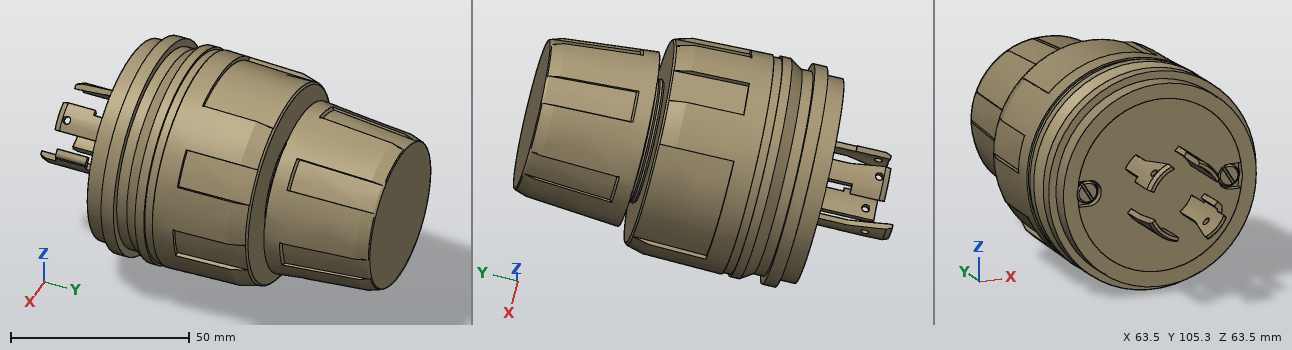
import cadquery as cq


FLANGE_RADIUS = 31.75
NECK_RADIUS = 29.5
GROOVE_RADIUS = 31.1
FLANGE_START = 5.2
FLANGE_END = 9.0
CONE_START = 12.1
COLLAR_START = 15.6
COLLAR_END = 18.3
GRIP_START = 20.8
GRIP_RADIUS = 31.6
GRIP_SHOULDER = 43.6
GRIP_SHOULDER_RADIUS = 31.0
GRIP_END = 49.0
GRIP_END_RADIUS = 29.1
GRIP_EDGE = 0.6

BODY_RECESS_START = 27.1
BODY_RECESS_RADIUS = 30.3
BODY_RECESS_END_RADIUS = 29.6
BODY_RECESS_SPAN = 20.0
BODY_RECESS_PITCH = 45.0
BODY_RECESS_FIRST = 25.0
BODY_RECESS_COUNT = 8
WIDE_RECESSES = (1, 5)
RECESS_CLEARANCE = 1.0

NUT_START = 52.1
NUT_RADIUS = 25.15
NUT_SHOULDER = 79.1
NUT_SHOULDER_RADIUS = 22.75
NUT_RIM = 82.5
NUT_RIM_RADIUS = 21.65
NUT_END = 82.83
NUT_END_RADIUS = 21.4
NUT_RECESS_START = 56.7
NUT_RECESS_DEPTH = 0.7
NUT_RECESS_SLOPE = 0.6
NUT_RECESS_SPAN = 22.0
NUT_RECESS_PITCH = 60.0
NUT_RECESS_FIRST = 38.0
NUT_RECESS_COUNT = 6

THREAD_RADIUS = 17.9
THREAD_ROOT_RADIUS = 17.4
THREAD_PITCH = 1.1

INSERT_RADIUS = 25.1
INSERT_STEP = 0.1
SCREW_OFFSET = 21.6
POCKET_RADIUS = 3.7
POCKET_DEPTH = 2.2
HEAD_RADIUS = 3.2
HEAD_HEIGHT = 1.2
HEAD_EDGE = 0.5
DRIVE_SLOT_WIDTH = 0.75
DRIVE_SLOT_DEPTH = 0.7
DRIVE_SLOT_ANGLE = 122.5

FIRST_BLADE_ANGLE = 45.0
QUARTER_TURN = 90.0
BLADE_OUTER_RADIUS = 12.1
BLADE_INNER_RADIUS = 10.5
BLADE_LENGTH = 18.3
LONG_BLADE_LENGTH = 22.5
BLADE_ROOT = 1.0
HOOK_START = 8.4
FLARE_START = 6.6
LONG_FLARE_START = 10.0
FLARE_MARGIN = 1.1
TIP_CHAMFER_LENGTH = 1.6
TIP_CHAMFER_DEPTH = 0.6
HOLE_DIAMETER = 2.2
HOLE_STATION = 15.4
TAB_INNER = 8.1
TAB_OUTER = 10.6
TAB_END = 17.6
TAB_NEAR = 4.5
TAB_FAR = 6.1
TAB_ROUNDING = 1.2


def turn(shape, angle):
    """Turn a shape about the plug axis, from +X towards +Z."""
    return shape.rotate((0, 0, 0), (0, 1, 0), -angle)


def revolved(points, span=360.0):
    """Revolve a closed (radius, Y) outline about the plug axis."""
    return cq.Workplane("XY").polyline(points).close().revolve(span, (0, 0), (0, 1))


def cylinder(radius, start, end):
    """Cylinder on the plug axis from Y = start to Y = end."""
    return cq.Workplane("XZ", origin=(0, start, 0)).circle(radius).extrude(start - end)


def radius_on_line(y, start, end):
    """Radius at Y on the straight line between two (radius, Y) points."""
    share = (y - start[1]) / (end[1] - start[1])
    return start[0] + share * (end[0] - start[0])


def recess_cutter(floor, first_angle, span):
    """Sector between an open (radius, Y) floor line and a clearance radius."""
    clearance = FLANGE_RADIUS + RECESS_CLEARANCE
    outline = [(clearance, floor[0][1])] + floor + [(clearance, floor[-1][1])]
    return turn(revolved(outline, span), first_angle + span)


def make_housing():
    housing = revolved([
        (0, 0),
        (NECK_RADIUS, 0),
        (NECK_RADIUS, FLANGE_START),
        (FLANGE_RADIUS, FLANGE_START),
        (FLANGE_RADIUS, FLANGE_END),
        (NECK_RADIUS, FLANGE_END),
        (NECK_RADIUS, CONE_START),
        (FLANGE_RADIUS, COLLAR_START),
        (FLANGE_RADIUS, COLLAR_END),
        (GROOVE_RADIUS, COLLAR_END),
        (GROOVE_RADIUS, GRIP_START),
        (GRIP_RADIUS, GRIP_START),
        (GRIP_SHOULDER_RADIUS, GRIP_SHOULDER),
        (GRIP_END_RADIUS + GRIP_EDGE, GRIP_END - GRIP_EDGE),
        (GRIP_END_RADIUS, GRIP_END),
        (0, GRIP_END),
    ])
    floor = [(BODY_RECESS_RADIUS, BODY_RECESS_START), (BODY_RECESS_END_RADIUS, GRIP_END)]
    for index in range(BODY_RECESS_COUNT):
        angle = BODY_RECESS_FIRST + index * BODY_RECESS_PITCH
        span = BODY_RECESS_SPAN
        if index in WIDE_RECESSES:
            span += BODY_RECESS_PITCH
        housing = housing.cut(recess_cutter(floor, angle, span))
    return housing


def make_nut():
    base = (NUT_RADIUS, NUT_START)
    shoulder = (NUT_SHOULDER_RADIUS, NUT_SHOULDER)
    nut = revolved([
        (0, NUT_START),
        base,
        shoulder,
        (NUT_RIM_RADIUS, NUT_RIM),
        (NUT_END_RADIUS, NUT_END),
        (0, NUT_END),
    ])
    floor_start = NUT_RECESS_START + NUT_RECESS_SLOPE
    floor = [
        (radius_on_line(NUT_RECESS_START, base, shoulder), NUT_RECESS_START),
        (radius_on_line(floor_start, base, shoulder) - NUT_RECESS_DEPTH, floor_start),
        (radius_on_line(NUT_END, base, shoulder) - NUT_RECESS_DEPTH, NUT_END),
    ]
    for index in range(NUT_RECESS_COUNT):
        angle = NUT_RECESS_FIRST + index * NUT_RECESS_PITCH
        nut = nut.cut(recess_cutter(floor, angle, NUT_RECESS_SPAN))
    return nut


def make_thread():
    """Ring-shaped thread crests on a core that joins housing and nut."""
    thread = cylinder(THREAD_ROOT_RADIUS, GRIP_END, NUT_START)
    for index in range(int((NUT_START - GRIP_END) / THREAD_PITCH)):
        root = GRIP_END + index * THREAD_PITCH
        thread = thread.union(revolved([
            (0, root),
            (THREAD_ROOT_RADIUS, root),
            (THREAD_RADIUS, root + THREAD_PITCH / 2),
            (THREAD_ROOT_RADIUS, root + THREAD_PITCH),
            (0, root + THREAD_PITCH),
        ]))
    return thread


def screw_pocket(side):
    """Round screw pocket that opens out to the rim of the insert."""
    center = side * SCREW_OFFSET
    pocket = cylinder(POCKET_RADIUS, 0, POCKET_DEPTH).translate((center, 0, 0))
    channel = cq.Workplane("XY").box(
        INSERT_RADIUS - SCREW_OFFSET, POCKET_DEPTH, 2 * POCKET_RADIUS, centered=(True, False, True)
    ).translate((side * (INSERT_RADIUS + SCREW_OFFSET) / 2, 0, 0))
    channel = channel.intersect(cylinder(INSERT_RADIUS, 0, POCKET_DEPTH))
    return pocket.union(channel)


def screw_head(side):
    """Slotted screw head standing on the pocket floor."""
    head_top = POCKET_DEPTH - HEAD_HEIGHT
    head = cylinder(HEAD_RADIUS, head_top, POCKET_DEPTH).faces("<Y").chamfer(HEAD_EDGE)
    slot = cq.Workplane("XY").box(
        3 * HEAD_RADIUS, DRIVE_SLOT_DEPTH, DRIVE_SLOT_WIDTH, centered=(True, False, True)
    ).translate((0, head_top, 0))
    head = head.cut(turn(slot, DRIVE_SLOT_ANGLE))
    return head.translate((side * SCREW_OFFSET, 0, 0))


def blade_blank(outline, length, end_angle=QUARTER_TURN):
    """Blade around +X: a (width, distance from face) outline cut from the blade tube.

    The tube itself stops at a radial end face at end_angle.
    """
    chamfered_radius = BLADE_OUTER_RADIUS - TIP_CHAMFER_DEPTH
    tube_outline = [
        (BLADE_INNER_RADIUS, BLADE_ROOT),
        (BLADE_OUTER_RADIUS, BLADE_ROOT),
        (BLADE_OUTER_RADIUS, TIP_CHAMFER_LENGTH - length),
        (chamfered_radius, -length),
        (BLADE_INNER_RADIUS, -length),
    ]
    tube = turn(revolved(tube_outline, QUARTER_TURN + end_angle), end_angle)
    points = [(-distance, width) for width, distance in outline]
    plate = cq.Workplane("YZ").polyline(points).close().extrude(BLADE_OUTER_RADIUS)
    hole = (
        cq.Workplane("YZ", origin=(0, -HOLE_STATION, 0))
        .circle(HOLE_DIAMETER / 2)
        .extrude(BLADE_OUTER_RADIUS)
    )
    return tube.intersect(plate).cut(hole)


def hooked_blade(plain_edge, flare_edge, shank_edge, hook_angle):
    """Blade with a flared edge on one side and a square locking hook on the other.

    Edges are offsets across the blade; the hook ends radially at hook_angle.
    """
    beyond_hook = BLADE_OUTER_RADIUS
    return blade_blank([
        (plain_edge, -BLADE_ROOT),
        (plain_edge, FLARE_START),
        (flare_edge, BLADE_LENGTH - FLARE_MARGIN),
        (flare_edge, BLADE_LENGTH),
        (beyond_hook, BLADE_LENGTH),
        (beyond_hook, HOOK_START),
        (shank_edge, HOOK_START),
        (shank_edge, -BLADE_ROOT),
    ], BLADE_LENGTH, hook_angle)


def tabbed_blade(plain_edge, flare_edge, shank_edge):
    """Long blade whose locking hook is a tab folded towards the plug axis."""
    hook_edge = (TAB_NEAR + TAB_FAR) / 2
    blade = blade_blank([
        (plain_edge, -BLADE_ROOT),
        (plain_edge, LONG_FLARE_START),
        (flare_edge, LONG_BLADE_LENGTH - FLARE_MARGIN),
        (flare_edge, LONG_BLADE_LENGTH),
        (shank_edge, LONG_BLADE_LENGTH),
        (shank_edge, TAB_END),
        (hook_edge, TAB_END),
        (hook_edge, HOOK_START),
        (shank_edge, HOOK_START),
        (shank_edge, -BLADE_ROOT),
    ], LONG_BLADE_LENGTH)
    tab = cq.Workplane("XY").box(
        TAB_OUTER - TAB_INNER, TAB_END - HOOK_START, TAB_FAR - TAB_NEAR, centered=False
    ).translate((TAB_INNER, -TAB_END, TAB_NEAR))
    tab = tab.edges(">X and >Z").fillet(TAB_ROUNDING)
    return blade.union(tab)


result = make_housing().union(make_thread()).union(make_nut())
result = result.cut(cylinder(INSERT_RADIUS, 0, INSERT_STEP))
for side in (-1, 1):
    result = result.cut(screw_pocket(side)).union(screw_head(side))

straight_blade = hooked_blade(plain_edge=-3.4, flare_edge=-3.4, shank_edge=3.4, hook_angle=24)
narrow_blade = hooked_blade(plain_edge=-1.65, flare_edge=-4.45, shank_edge=3.25, hook_angle=24)
wide_blade = hooked_blade(plain_edge=-2.0, flare_edge=-3.7, shank_edge=3.9, hook_angle=32.3)
long_blade = tabbed_blade(plain_edge=-1.65, flare_edge=-3.85, shank_edge=4.05)
blades = (straight_blade, narrow_blade, wide_blade, long_blade)
for index, blade in enumerate(blades):
    result = result.union(turn(blade, FIRST_BLADE_ANGLE + index * 360 / len(blades)))